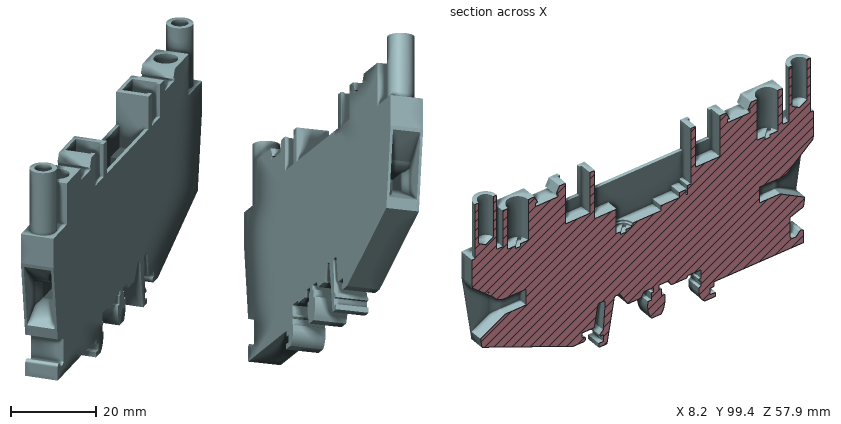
import cadquery as cq
import math

LENGTH = 99.4
WIDTH = 8.2
HEIGHT = 57.9
WALL = 0.9

SHOULDER_Z = 41.9
BLOCK_Z = 52.5
RIM_Z = 44.1
FOLD_Z = 34.5
TAPER_Z = 15.0
FLAT_Z = 9.0
RECESS_Z = 10.5
SLIT_TOP_Z = 12.9
BASE_Z = 4.5
NOSE_Z = 3.6

END_Y = LENGTH / 2
TAPER_Y = 46.8
BLOCK_OUTER_Y = 40.8
BLOCK_INNER_Y = 13.9
SLIT_Y = 12.9
LEG_FRONT_Y = 8.2
CATCH_Y = -42.9
SIDES = (-1, 1)


def prism(points, width=WIDTH):
    """Extrude a closed (y, z) outline symmetrically about X = 0."""
    return cq.Workplane("YZ").polyline(points).close().extrude(width / 2, both=True)


def slab(y_min, y_max, z_min, z_max, width=WIDTH):
    """Box between two stations and two levels, centred on X = 0."""
    return prism([(y_min, z_min), (y_max, z_min), (y_max, z_max), (y_min, z_max)], width)



def core():
    """Plate with tapered ends, sloping nose towards +Y and the rail cut-outs."""
    nose_y = 20.2
    claw_y = 17.6
    claw_roof_z = 6.4
    slit_mouth_y = 14.0
    pad_slope_y = 6.7
    pad_start_y = 4.4
    pad_end_y = 0.5
    recess_start_y = -0.4
    recess_end_y = -7.5
    rear_pad_y = -8.25
    rear_pad_end_y = -12.8
    rear_step_y = -13.2
    rear_step_z = 9.6
    hook_y = -16.9
    catch_roof_z = 13.6
    return prism([
        (END_Y, SHOULDER_Z), (END_Y, FOLD_Z), (TAPER_Y, TAPER_Z),
        (nose_y, NOSE_Z), (claw_y, NOSE_Z), (claw_y, claw_roof_z),
        (slit_mouth_y, claw_roof_z), (SLIT_Y, SLIT_TOP_Z), (pad_slope_y, SLIT_TOP_Z),
        (pad_start_y, FLAT_Z), (pad_end_y, FLAT_Z), (recess_start_y, RECESS_Z),
        (recess_end_y, RECESS_Z), (rear_pad_y, FLAT_Z), (rear_pad_end_y, FLAT_Z),
        (rear_step_y, rear_step_z), (hook_y, rear_step_z), (hook_y, BASE_Z),
        (CATCH_Y, BASE_Z), (CATCH_Y, catch_roof_z),
        (-TAPER_Y, TAPER_Z), (-END_Y, FOLD_Z), (-END_Y, SHOULDER_Z),
    ])


def terminal_block(side):
    """Raised block with an undercut groove for bridges across its top."""
    lip_z = 50.3
    floor_z = 49.5
    mouth = (24.3, 31.5)
    lips = (25.3, 30.4)
    floor = (24.8, 31.1)
    y_min, y_max = sorted((side * BLOCK_INNER_Y, side * BLOCK_OUTER_Y))
    block = slab(y_min, y_max, SHOULDER_Z, BLOCK_Z)
    funnel = [(mouth[0], BLOCK_Z), (lips[0], lip_z), (lips[1], lip_z), (mouth[1], BLOCK_Z)]
    undercut = [(floor[0], lip_z), (floor[0], floor_z), (floor[1], floor_z), (floor[1], lip_z)]
    for outline in (funnel, undercut):
        block = block.cut(prism([(side * y, z) for y, z in outline]))
    return block


def trough_rim():
    """Raised rim between the two terminal blocks."""
    return slab(-BLOCK_INNER_Y, BLOCK_INNER_Y, SHOULDER_Z, RIM_Z)



def rail_claw():
    """Small rounded lip gripping the rail edge under the nose."""
    root_y = 17.7
    tip_y = 16.6
    top_z = 5.1
    radius = 0.7
    lip = slab(tip_y, root_y, NOSE_Z, top_z)
    return lip.edges("|X and <Y").fillet(radius)


def spring_leg():
    """Slanted leg with a snap nib and a foot for the release tool."""
    nib_y = 12.5
    nib_z = (3.1, 3.6)
    neck_y = 11.5
    neck_z = 4.7
    root_y = 10.9
    foot_y = 12.8
    foot_z = 1.3
    heel_y = 10.3
    return prism([
        (heel_y, 0), (foot_y, 0), (foot_y, foot_z), (neck_y, foot_z),
        (neck_y, nib_z[0]), (nib_y, nib_z[0]), (nib_y, nib_z[1]), (neck_y, neck_z),
        (root_y, SLIT_TOP_Z), (LEG_FRONT_Y, SLIT_TOP_Z),
    ])


def round_slit_corners(body):
    """Round the upper corners of the two slits that free the spring leg."""
    radius = 0.5
    margin = 0.1
    corners = cq.selectors.BoxSelector(
        (-WIDTH, LEG_FRONT_Y - margin, SLIT_TOP_Z - margin),
        (WIDTH, SLIT_Y + margin, SLIT_TOP_Z + margin),
    )
    return body.edges("|X").edges(corners).fillet(radius)


def plug_foot():
    """Bulged foot hanging on a stepped stem."""
    centre_y = -4.0
    neck_half = 0.9
    stem_half = 1.5
    bulge_half = 2.5
    tip_half = 1.5
    stem_z = 9.3
    bulge_z = 7.3
    tip_z = 1.8
    bulge_mid = (2.4, 4.0)
    stem = slab(centre_y - stem_half, centre_y + stem_half, bulge_z, stem_z)
    neck = slab(centre_y - neck_half, centre_y + neck_half, stem_z, RECESS_Z)
    bulb = (
        cq.Workplane("YZ")
        .moveTo(centre_y - bulge_half, bulge_z)
        .threePointArc((centre_y - bulge_mid[0], bulge_mid[1]), (centre_y - tip_half, tip_z))
        .lineTo(centre_y + tip_half, tip_z)
        .threePointArc((centre_y + bulge_mid[0], bulge_mid[1]), (centre_y + bulge_half, bulge_z))
        .close()
        .extrude(WIDTH / 2, both=True)
    )
    return bulb.union(stem).union(neck)


def rail_hook():
    """Fixed hook with a rail groove in front and a tool notch behind."""
    face_y = -16.3
    root_y = -17.4
    groove_z = (5.2, 6.4)
    lip_z = (4.7, 6.8, 7.3)
    curve_start_z = 3.2
    curve_mid = (-16.9, 1.3)
    toe_y = -18.1
    heel_y = -21.2
    notch_y = -19.6
    notch_z = (1.3, 3.1)
    back_y = -20.8
    return (
        cq.Workplane("YZ")
        .moveTo(back_y, lip_z[2])
        .lineTo(face_y, lip_z[2])
        .lineTo(face_y, lip_z[1])
        .lineTo(face_y - (lip_z[1] - groove_z[1]), groove_z[1])
        .lineTo(root_y, groove_z[1])
        .lineTo(root_y, groove_z[0])
        .lineTo(face_y, lip_z[0])
        .lineTo(face_y, curve_start_z)
        .threePointArc(curve_mid, (toe_y, 0))
        .lineTo(heel_y, 0)
        .lineTo(heel_y, notch_z[0])
        .lineTo(notch_y, notch_z[0])
        .lineTo(notch_y, notch_z[1])
        .lineTo(back_y, notch_z[1])
        .close()
        .extrude(WIDTH / 2, both=True)
    )


def end_catch():
    """Upturned catch at the -Y end of the underside, with a rounded valley and crest."""
    valley_z = 7.3
    valley_end_y = -44.6
    valley_radius = 0.7
    crest_y = -45.7
    crest_z = 8.5
    crest_radius = 0.7
    arc_mid = valley_radius * (1 - math.sqrt(0.5))
    return (
        cq.Workplane("YZ")
        .moveTo(CATCH_Y, BASE_Z)
        .lineTo(CATCH_Y, valley_z + valley_radius)
        .threePointArc((CATCH_Y - arc_mid, valley_z + arc_mid), (CATCH_Y - valley_radius, valley_z))
        .lineTo(valley_end_y, valley_z)
        .lineTo(crest_y, crest_z)
        .lineTo(-TAPER_Y, crest_z)
        .lineTo(-TAPER_Y, BASE_Z)
        .close()
        .extrude(WIDTH / 2, both=True)
        .faces(">Z")
        .edges("|X")
        .fillet(crest_radius)
    )



SCREW_SLOT_WIDTH = 1.0
SCREW_SLOT_DEPTH = 0.8
SCREW_SLOT_ANGLE = -45


def screw_slot(y, z_top, diameter):
    """Oblique driver slot, trimmed to the round screw head."""
    head = cq.Workplane("XY").circle(diameter / 2).extrude(-SCREW_SLOT_DEPTH)
    bar = (
        cq.Workplane("XY")
        .rect(diameter, SCREW_SLOT_WIDTH)
        .extrude(-SCREW_SLOT_DEPTH)
        .rotate((0, 0, 0), (0, 0, 1), SCREW_SLOT_ANGLE)
    )
    return head.intersect(bar).translate((0, y, z_top))


def cylinder(y, z_top, diameter, depth):
    """Upright cylinder on X = 0, hanging down from z_top."""
    return cq.Workplane("XY").circle(diameter / 2).extrude(-depth).translate((0, y, z_top))


def terminal_screw(side):
    """Deep screw shaft with the slotted head at its bottom."""
    y = side * 36.3
    diameter = 5.9
    depth = 11.9
    shaft = cylinder(y, BLOCK_Z, diameter, depth)
    return shaft.union(screw_slot(y, BLOCK_Z - depth, diameter))


def marker_pocket(side):
    """Square pocket whose +X wall is open between two short nibs."""
    y = side * 18.9
    length = 7.0
    depth = 11.9
    window_length = 5.7
    window_depth = BLOCK_Z - RIM_Z
    pocket = slab(y - length / 2, y + length / 2, BLOCK_Z - depth, BLOCK_Z, WIDTH - 2 * WALL)
    window = (
        cq.Workplane("XY")
        .box(WIDTH / 2, window_length, window_depth, centered=(False, True, False))
        .translate((0, y, BLOCK_Z - window_depth))
    )
    return pocket.union(window)


def trough():
    """Stepped centre trough with the disconnect screw in its floor."""
    floor_z = RIM_Z - 11.9
    ledge_y = 7.7
    ledge_z = RIM_Z - 5.8
    steps = (
        (-5.3, -10.6, 10.4),
        (-10.6, -12.7, 8.9),
        (-12.7, -13.0, 10.4),
        (-13.0, -BLOCK_INNER_Y, 8.0),
    )
    width = WIDTH - 2 * WALL
    pocket = slab(steps[0][0], ledge_y, floor_z, RIM_Z, width)
    pocket = pocket.union(slab(ledge_y, BLOCK_INNER_Y, ledge_z, RIM_Z, width))
    for y_max, y_min, depth in steps:
        pocket = pocket.union(slab(y_min, y_max, RIM_Z - depth, RIM_Z, width))

    screw_y = 5.7
    rim_diameter = 5.6
    head_diameter = 4.6
    rim_depth = 0.5
    head_depth = 1.0
    screw = cylinder(screw_y, floor_z, rim_diameter, rim_depth)
    screw = screw.union(cylinder(screw_y, floor_z, head_diameter, head_depth))
    screw = screw.union(screw_slot(screw_y, floor_z - head_depth, head_diameter))
    clear_of_ledge = slab(-BLOCK_INNER_Y, ledge_y, 0, RIM_Z)
    return pocket.union(screw.intersect(clear_of_ledge))


def wire_entry(side):
    """Wire funnel in a tapered end face, narrowing to a square hole."""
    mouth_width = 6.9
    mouth_z = (17.7, 33.6)
    hole_width = 4.5
    hole_z = (21.9, 26.3)
    throat_y = 40.0
    ceiling_y = 43.3
    ceiling_z = 28.1
    hole_depth = 6.0
    outside_y = END_Y + 1.0
    taper_slope = (END_Y - TAPER_Y) / (FOLD_Z - TAPER_Z)
    mouth_y = [END_Y - taper_slope * (FOLD_Z - z) for z in mouth_z]

    round_length = ceiling_y - throat_y
    round_rise = ceiling_z - hole_z[1]
    round_radius = (round_length**2 + round_rise**2) / (2 * round_rise)
    half_angle = math.asin(round_length / round_radius) / 2
    round_mid = (
        throat_y + round_radius * math.sin(half_angle),
        hole_z[1] + round_radius * (1 - math.cos(half_angle)),
    )

    profile = (
        cq.Workplane("YZ")
        .moveTo(throat_y, hole_z[0])
        .lineTo(mouth_y[0], mouth_z[0])
        .lineTo(outside_y, mouth_z[0])
        .lineTo(outside_y, mouth_z[1])
        .lineTo(mouth_y[1], mouth_z[1])
        .lineTo(ceiling_y, ceiling_z)
        .threePointArc(round_mid, (throat_y, hole_z[1]))
        .close()
        .extrude(mouth_width / 2, both=True)
    )
    floor_slope = (mouth_y[0] - throat_y) / (hole_z[0] - mouth_z[0])
    flare = throat_y + floor_slope * (mouth_width - hole_width) / 2
    plan = (
        cq.Workplane("XY")
        .polyline([
            (-hole_width / 2, throat_y), (hole_width / 2, throat_y), (mouth_width / 2, flare),
            (mouth_width / 2, outside_y), (-mouth_width / 2, outside_y), (-mouth_width / 2, flare),
        ])
        .close()
        .extrude(BLOCK_Z)
    )
    hole = slab(throat_y - hole_depth, throat_y, hole_z[0], hole_z[1], hole_width)
    entry = profile.intersect(plan).union(hole)
    return entry if side > 0 else entry.mirror("XZ")



SOCKET_Y = 45.6
DRILL_POINT_ANGLE = 118.0


def socket():
    """Upright tube with a bore that ends in a drill point."""
    diameter = 6.5
    bore = 4.2
    bore_depth = 11.9
    point_depth = bore / 2 / math.tan(math.radians(DRILL_POINT_ANGLE / 2))
    tube = cylinder(0, HEIGHT, diameter, HEIGHT - SHOULDER_Z)
    point = cq.Solid.makeCone(
        bore / 2, 0, point_depth, pnt=cq.Vector(0, 0, HEIGHT - bore_depth), dir=cq.Vector(0, 0, -1)
    )
    return tube.cut(cylinder(0, HEIGHT, bore, bore_depth)).cut(cq.Workplane(point))



result = core().union(trough_rim())
for feature in (rail_claw, spring_leg, plug_foot, rail_hook, end_catch):
    result = result.union(feature())
result = round_slit_corners(result)
for half in SIDES:
    result = result.union(terminal_block(half))
for half in SIDES:
    result = result.cut(terminal_screw(half)).cut(marker_pocket(half)).cut(wire_entry(half))
    result = result.union(socket().translate((0, half * SOCKET_Y, 0)))
result = result.cut(trough())